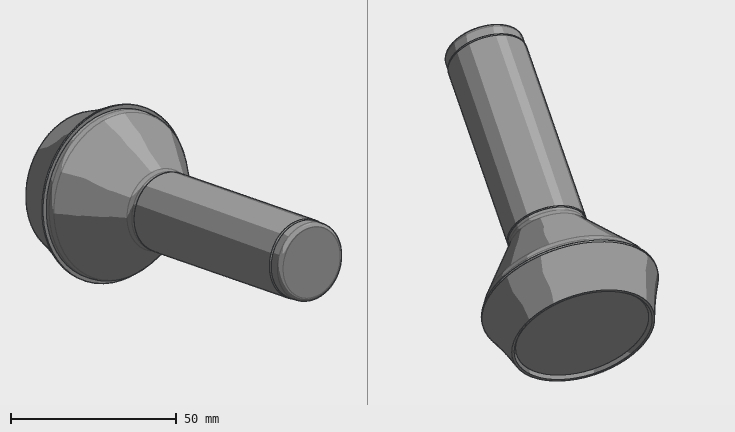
import cadquery as cq
import math

TOTAL_LENGTH = 110.0

HEAD_LENGTH = 15.0
HEAD_RIM_WIDTH = 0.7
HEAD_RIM_RADIUS = 27.7
HEAD_FRONT_RADIUS = 22.4
FLARE_SAG = 0.3
RECESS_RADIUS = 21.7
RECESS_DEPTH = 1.1

BOSS_RADIUS = 20.9
COLLAR_RADIUS = 53.0 / 2
COLLAR_ROUND_START = 16.4
CONE_START = 18.0
NECK_FILLET_START = 36.8
NECK_START = 38.5
NECK_RADIUS = 24.5 / 2
STEM_START = 39.6
STEM_LEAD_IN = 0.3
STEM_RADIUS = 25.0 / 2
STEM_END = 105.2
STEM_LEAD_OUT = 0.7
TAIL_RADIUS = NECK_RADIUS
TAIL_ROUND = 1.2
CONE_ANGLE = math.radians(35)


def revolve_about_x(profile):
    return profile.close().revolve(360, (0, 0, 0), (1, 0, 0))


def tangent_arc_drop(length):
    """Radial change along an arc that turns from axial to the cone slope over the given length."""
    return length * math.tan(CONE_ANGLE / 2)


def make_head():
    rim_start = HEAD_LENGTH - HEAD_RIM_WIDTH
    flare_middle = (rim_start / 2, (HEAD_FRONT_RADIUS + HEAD_RIM_RADIUS) / 2 - FLARE_SAG)
    profile = (
        cq.Workplane("XY")
        .moveTo(HEAD_LENGTH, BOSS_RADIUS)
        .lineTo(RECESS_DEPTH, BOSS_RADIUS)
        .lineTo(0, RECESS_RADIUS)
        .lineTo(0, HEAD_FRONT_RADIUS)
        .threePointArc(flare_middle, (rim_start, HEAD_RIM_RADIUS))
        .lineTo(HEAD_LENGTH, HEAD_RIM_RADIUS)
    )
    return revolve_about_x(profile)


def make_shank():
    cone_large_radius = COLLAR_RADIUS - tangent_arc_drop(CONE_START - COLLAR_ROUND_START)
    cone_small_radius = NECK_RADIUS + tangent_arc_drop(NECK_START - NECK_FILLET_START)
    profile = (
        cq.Workplane("XY")
        .moveTo(RECESS_DEPTH, 0)
        .lineTo(RECESS_DEPTH, BOSS_RADIUS)
        .lineTo(HEAD_LENGTH, BOSS_RADIUS)
        .lineTo(HEAD_LENGTH, COLLAR_RADIUS)
        .lineTo(COLLAR_ROUND_START, COLLAR_RADIUS)
        .tangentArcPoint((CONE_START, cone_large_radius), relative=False)
        .lineTo(NECK_FILLET_START, cone_small_radius)
        .tangentArcPoint((NECK_START, NECK_RADIUS), relative=False)
        .lineTo(STEM_START, NECK_RADIUS)
        .lineTo(STEM_START + STEM_LEAD_IN, STEM_RADIUS)
        .lineTo(STEM_END, STEM_RADIUS)
        .lineTo(STEM_END + STEM_LEAD_OUT, TAIL_RADIUS)
        .lineTo(TOTAL_LENGTH - TAIL_ROUND, TAIL_RADIUS)
        .tangentArcPoint((TOTAL_LENGTH, TAIL_RADIUS - TAIL_ROUND), relative=False)
        .lineTo(TOTAL_LENGTH, 0)
    )
    return revolve_about_x(profile)


head = make_head()
shank = make_shank()

result = cq.Compound.makeCompound([head.val(), shank.val()])